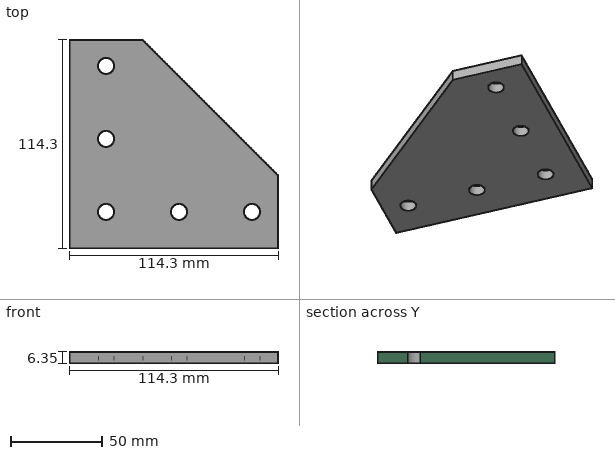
import cadquery as cq

leg_length = 114.3
thickness = 6.35
leg_width = 40.0

hole_diameter = 8.7
hole_pitch = 40.0
holes_per_leg = 3
hole_inset = leg_width / 2


def make_plate():
    """Square plate with its outer corner cut off by a 45 degree diagonal."""
    outline = [
        (0, 0),
        (leg_length, 0),
        (leg_length, leg_width),
        (leg_width, leg_length),
        (0, leg_length),
    ]
    return cq.Workplane("XY").polyline(outline).close().extrude(thickness)


def hole_centres():
    """Centres along the X leg, then the remaining ones along the Y leg."""
    stations = [hole_inset + i * hole_pitch for i in range(holes_per_leg)]
    along_x = [(station, hole_inset) for station in stations]
    along_y = [(hole_inset, station) for station in stations[1:]]
    return along_x + along_y


def make_holes():
    """Cylinders for the through holes."""
    return (
        cq.Workplane("XY")
        .pushPoints(hole_centres())
        .circle(hole_diameter / 2)
        .extrude(thickness)
    )


result = make_plate().cut(make_holes())